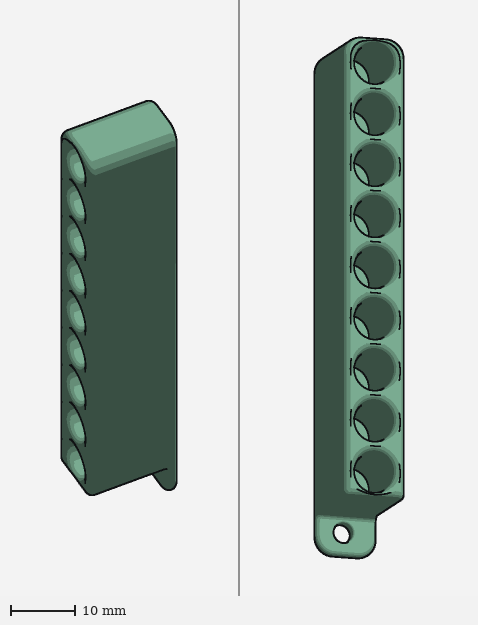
import cadquery as cq
import math

width = 10.0
depth = 16.0
height = 80.0
tab_height = 6.5
tab_thickness = 1.8

corner_radius = 3.0
back_round = 1.0
front_round = 1.2
lower_round = 0.76
inner_corner_radius = 0.8

pocket_count = 9
pocket_diameter = 6.3
pocket_pitch = 8.2
pocket_top_margin = 4.2
pocket_depth = 12.8
pocket_mouth_round = 1.2

hole_diameter = 3.1
hole_x = -0.5
hole_z = 3.8
hole_mouth_round = 0.3

tab_front_y = depth - tab_thickness


def make_body():
    """L-shaped bar with rounded edges: a tall block above a thin tab at the back."""
    body = cq.Workplane("XY").box(width, depth, height, centered=(True, False, False))
    body = body.edges("|Y").fillet(corner_radius)
    notch = cq.Workplane("XY").box(width, tab_front_y, tab_height, centered=(True, False, False))
    body = body.cut(notch)

    inner_corner = cq.selectors.NearestToPointSelector((0, tab_front_y, tab_height))
    body = body.edges(inner_corner).fillet(inner_corner_radius)
    body = body.faces(">Y").edges().fillet(back_round)
    underside_edge = cq.selectors.NearestToPointSelector((width / 2, depth / 2, tab_height))
    body = body.edges(underside_edge).fillet(lower_round)
    return body.faces("<Y").edges().fillet(front_round)


def flared_cutter(diameter, length, mouth_round):
    """Round cutter along +Y from the origin, with a convex rounded mouth at Y = 0."""
    radius = diameter / 2
    mouth_radius = radius + mouth_round
    arc_offset = mouth_round * (1 - math.sqrt(0.5))
    return (
        cq.Workplane("XY")
        .lineTo(mouth_radius, 0)
        .threePointArc((radius + arc_offset, arc_offset), (radius, mouth_round))
        .lineTo(radius, length)
        .lineTo(0, length)
        .close()
        .revolve(360, (0, 0, 0), (0, 1, 0))
    )


def cut_pockets(body):
    """Vertical row of flared pockets in the front face."""
    pocket = flared_cutter(pocket_diameter, pocket_depth, pocket_mouth_round)
    for index in range(pocket_count):
        center_z = height - pocket_top_margin - index * pocket_pitch
        body = body.cut(pocket.translate((0, 0, center_z)))
    return body


def cut_screw_hole(body):
    """Through hole in the tab, with its mouth rounded on the front."""
    hole = flared_cutter(hole_diameter, tab_thickness, hole_mouth_round)
    return body.cut(hole.translate((hole_x, tab_front_y, hole_z)))


result = cut_screw_hole(cut_pockets(make_body()))